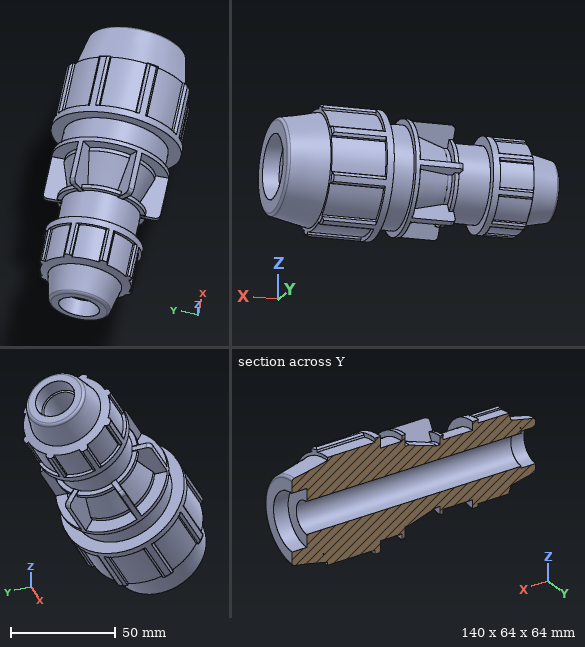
import cadquery as cq

LENGTH = 140.0
OVERLAP = 1.4

BODY_RATIO = 0.93
TUBE_RATIO = 0.8

SMALL_FLANGE_R = 48.0 / 2
SMALL_BODY_R = BODY_RATIO * SMALL_FLANGE_R
SMALL_NOSE_TIP_R = 15.0
SMALL_NOSE_BASE_R = 18.0
SMALL_NOSE_END = 14.0
SMALL_SHOULDER_END = 16.0
SMALL_FLANGE_START = 32.9
SMALL_FLANGE_END = 36.4
SMALL_GRIP_WIDTH = 2.4
SMALL_GRIP_BEVEL = 1.0

LARGE_FLANGE_R = 64.0 / 2
LARGE_BODY_R = BODY_RATIO * LARGE_FLANGE_R
LARGE_NOSE_TIP_R = 23.8
LARGE_NOSE_BASE_R = 28.0
LARGE_FLANGE_START = 89.0
LARGE_FLANGE_END = 92.5
LARGE_NOSE_START = 119.7
LARGE_GRIP_WIDTH = 3.2
LARGE_GRIP_BEVEL = 1.3
LARGE_GRIP_CHAMFER = 1.0

NOSE_FILLET = 1.5
GRIP_COUNT = 8

SMALL_TUBE_R = TUBE_RATIO * SMALL_FLANGE_R
LARGE_TUBE_R = TUBE_RATIO * LARGE_FLANGE_R
WING_START = 52.6
DISC_START = 53.0
DISC_END = 55.0
DISC_R = 21.7
NECK_R = 17.1
NECK_END = 57.1
CONE_END = 72.8
CONE_END_R = 22.3
COLLAR_START = 74.8
COLLAR_END = 77.0
COLLAR_R = 57.5 / 2

WING_COUNT = 6
WING_THICKNESS = 2.8
WING_FILLET = 2.2

SMALL_SOCKET_R = 20.0 / 2
LARGE_SOCKET_R = 32.0 / 2
PASSAGE_R = 9.0
SOCKET_DEPTH = 8.4


def turned(points):
    """Solid of revolution about X from (x, radius) points, closed along the axis."""
    first_x = points[0][0]
    last_x = points[-1][0]
    outline = [(first_x, 0), *points, (last_x, 0)]
    return cq.Workplane("XY").polyline(outline).close().revolve(360, (0, 0, 0), (1, 0, 0))


def cylinder(start, end, radius):
    return turned([(start, radius), (end, radius)])


def spaced_around(shape, count, first_angle):
    """Union of equally spaced copies of a shape around the X axis."""
    ring = cq.Workplane("XY")
    for index in range(count):
        angle = first_angle + index * 360 / count
        ring = ring.union(shape.rotate((0, 0, 0), (1, 0, 0), angle))
    return ring


def grips(start, end, body_r, outer_r, width, bevel):
    """Grip ribs with 45 degree bevels along both long edges, standing on a nut body."""
    top = width / 2
    side = top + bevel
    section = [
        (-side, body_r - OVERLAP),
        (-side, outer_r - bevel),
        (-top, outer_r),
        (-top, outer_r + OVERLAP),
        (top, outer_r + OVERLAP),
        (top, outer_r),
        (side, outer_r - bevel),
        (side, body_r - OVERLAP),
    ]
    rib = cq.Workplane("YZ", origin=(start, 0, 0)).polyline(section).close().extrude(end - start)
    pitch = 360 / GRIP_COUNT
    return spaced_around(rib, GRIP_COUNT, pitch / 2)


def small_nut():
    nose = turned([(0, SMALL_NOSE_TIP_R), (SMALL_NOSE_END, SMALL_NOSE_BASE_R)])
    nose = nose.faces("<X").edges().fillet(NOSE_FILLET)
    envelope = turned([
        (SMALL_NOSE_END, SMALL_NOSE_BASE_R),
        (SMALL_SHOULDER_END, SMALL_FLANGE_R),
        (SMALL_FLANGE_END, SMALL_FLANGE_R),
    ])
    barrel = cylinder(SMALL_NOSE_END, SMALL_FLANGE_START, SMALL_BODY_R)
    ribs = grips(
        SMALL_NOSE_END, SMALL_FLANGE_START, SMALL_BODY_R, SMALL_FLANGE_R,
        SMALL_GRIP_WIDTH, SMALL_GRIP_BEVEL,
    )
    flange = cylinder(SMALL_FLANGE_START, SMALL_FLANGE_END, SMALL_FLANGE_R)
    return nose.union(barrel.union(ribs).union(flange).intersect(envelope))


def large_nut():
    nose = turned([(LARGE_NOSE_START, LARGE_NOSE_BASE_R), (LENGTH, LARGE_NOSE_TIP_R)])
    nose = nose.faces(">X").edges().fillet(NOSE_FILLET)
    envelope = turned([
        (LARGE_FLANGE_START, LARGE_FLANGE_R),
        (LARGE_NOSE_START - LARGE_GRIP_CHAMFER, LARGE_FLANGE_R),
        (LARGE_NOSE_START, LARGE_FLANGE_R - LARGE_GRIP_CHAMFER),
    ])
    barrel = cylinder(LARGE_FLANGE_END, LARGE_NOSE_START, LARGE_BODY_R)
    ribs = grips(
        LARGE_FLANGE_END, LARGE_NOSE_START, LARGE_BODY_R, LARGE_FLANGE_R,
        LARGE_GRIP_WIDTH, LARGE_GRIP_BEVEL,
    )
    flange = cylinder(LARGE_FLANGE_START, LARGE_FLANGE_END, LARGE_FLANGE_R)
    return nose.union(barrel.union(ribs).union(flange).intersect(envelope))


def middle_body():
    return turned([
        (SMALL_FLANGE_END, SMALL_TUBE_R),
        (DISC_START, SMALL_TUBE_R),
        (DISC_START, DISC_R),
        (DISC_END, DISC_R),
        (DISC_END, NECK_R),
        (NECK_END, NECK_R),
        (CONE_END, CONE_END_R),
        (COLLAR_START, CONE_END_R),
        (COLLAR_START, COLLAR_R),
        (COLLAR_END, COLLAR_R),
        (COLLAR_END, LARGE_TUBE_R),
        (LARGE_FLANGE_START, LARGE_TUBE_R),
    ])


def wings():
    """Radial wings with a rounded outer front corner, flush with the collar rim."""
    root_r = NECK_R - OVERLAP
    length = COLLAR_END - WING_START
    height = COLLAR_R + OVERLAP - root_r
    wing = (
        cq.Workplane("XY")
        .box(length, height, WING_THICKNESS, centered=(False, False, True))
        .translate((WING_START, root_r, 0))
    )
    envelope = cylinder(WING_START, COLLAR_END, COLLAR_R).faces("<X").edges().fillet(WING_FILLET)
    return spaced_around(wing, WING_COUNT, 0).intersect(envelope)


def bores():
    small_socket = cylinder(0, SOCKET_DEPTH, SMALL_SOCKET_R)
    large_socket = cylinder(LENGTH - SOCKET_DEPTH, LENGTH, LARGE_SOCKET_R)
    passage = cylinder(0, LENGTH, PASSAGE_R)
    return small_socket.union(passage).union(large_socket)


result = small_nut().union(middle_body()).union(wings()).union(large_nut()).cut(bores())